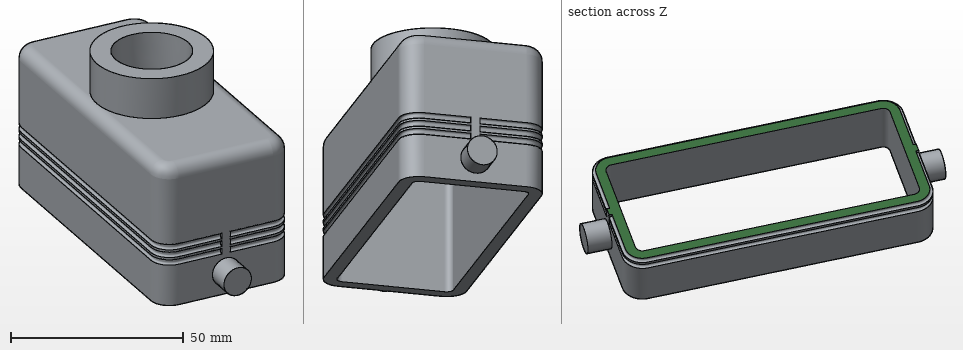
import cadquery as cq

overall_length = 108
body_length = 93.5
body_width = 43.0
body_height = 45.0
corner_radius = 6.0
wall = 4.0
top_edge_radius = wall

overall_height = 58.0
collar_diameter = 36.0
bore_top_diameter = 23.8
bore_bottom_diameter = 23.1

pin_diameter = 9.0
pin_height = 7.1

groove_count = 3
groove_width = 1.7
groove_depth = 0.9
groove_floor_radius = 0.5
groove_pitch = 2.5
middle_groove_height = 16.5
groove_gap = 2.7


def rounded_block(length, width, height, radius):
    """Block standing on Z = 0 with rounded vertical edges."""
    return cq.Workplane("XY").rect(length, width).extrude(height).edges("|Z").fillet(radius)


def hood_body():
    """Outer block with a rounded top rim."""
    block = rounded_block(body_length, body_width, body_height, corner_radius)
    return block.faces(">Z").edges().fillet(top_edge_radius)


def cavity():
    """Inside space that leaves an even wall at the sides and the top."""
    return rounded_block(
        body_length - 2 * wall, body_width - 2 * wall, body_height - wall, corner_radius - wall
    )


def collar():
    """Cable-entry collar, rooted in the roof of the hood."""
    root = body_height - wall
    return (
        cq.Workplane("XY", origin=(0, 0, root))
        .circle(collar_diameter / 2)
        .extrude(overall_height - root)
    )


def bore():
    """Cable hole through the collar and roof, narrowing slightly towards the cavity."""
    ceiling = body_height - wall
    return (
        cq.Workplane("XY", origin=(0, 0, ceiling))
        .circle(bore_bottom_diameter / 2)
        .workplane(offset=overall_height - ceiling)
        .circle(bore_top_diameter / 2)
        .loft()
    )


def pins():
    """Both locking pins, each starting halfway through an end wall."""
    root = body_length / 2 - wall / 2
    pin = (
        cq.Workplane("YZ", origin=(root, 0, pin_height))
        .circle(pin_diameter / 2)
        .extrude(overall_length / 2 - root)
    )
    return pin.union(pin.mirror("YZ"))


def groove(height):
    """Cutter for one groove: a profile, half of it outside, swept along the body outline."""
    outline = rounded_block(body_length, body_width, body_height, corner_radius)
    path = outline.faces("<Z").wires().val().translate(cq.Vector(0, 0, height))
    section = cq.Sketch().rect(2 * groove_depth, groove_width).vertices().fillet(groove_floor_radius)
    profile = cq.Workplane("YZ", origin=(0, -body_width / 2, height)).placeSketch(section)
    return profile.sweep(cq.Workplane(path))


def grooves():
    """All grooves, left uncut across a narrow strip at the middle of each end."""
    lowest = middle_groove_height - (groove_count - 1) / 2 * groove_pitch
    cutter = groove(lowest)
    for index in range(1, groove_count):
        cutter = cutter.union(groove(lowest + index * groove_pitch))
    uncut_strip = cq.Workplane("XY").box(overall_length, groove_gap, 2 * body_height)
    return cutter.cut(uncut_strip)


result = (
    hood_body()
    .cut(grooves())
    .union(collar())
    .union(pins())
    .cut(cavity())
    .cut(bore())
)